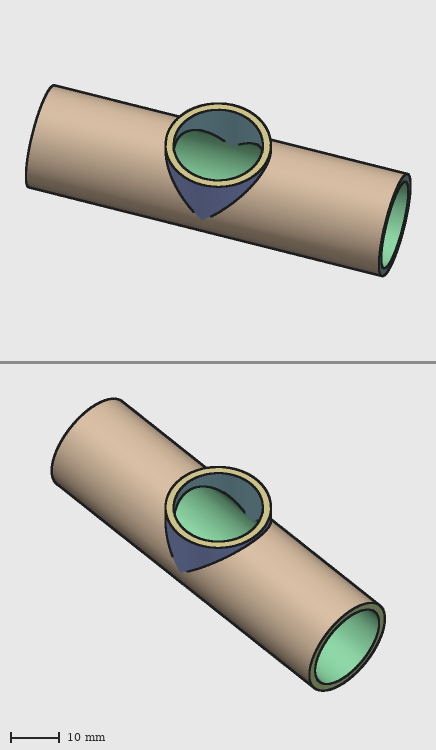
import cadquery as cq

run_length = 76.2
outer_diameter = 21.7
bore_diameter = 18.4
overall_height = 22.85

branch_height = overall_height - outer_diameter / 2


def run_cylinder(diameter):
    """Cylinder along X, centred on the origin."""
    return cq.Workplane("YZ").circle(diameter / 2).extrude(run_length / 2, both=True)


def branch_cylinder(diameter):
    """Cylinder from the run axis up to the branch mouth."""
    return cq.Workplane("XY").circle(diameter / 2).extrude(branch_height)


outer_body = run_cylinder(outer_diameter).union(branch_cylinder(outer_diameter))
bores = run_cylinder(bore_diameter).union(branch_cylinder(bore_diameter))

result = outer_body.cut(bores)